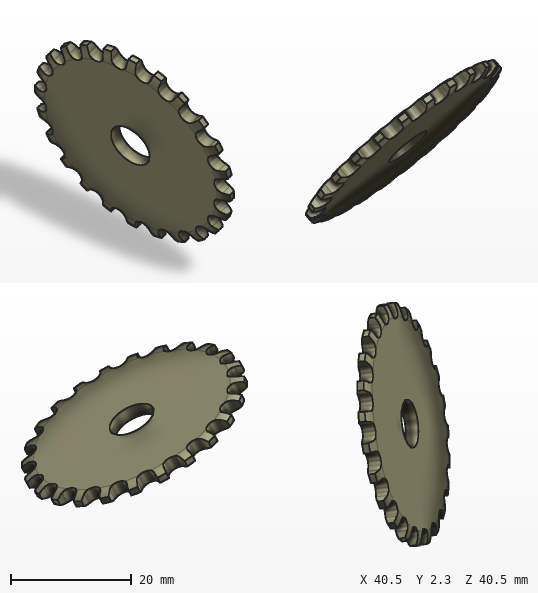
import cadquery as cq
import math

tooth_count = 24
chain_pitch = 5.0
roller_diameter = 3.2
outer_diameter = 40.5

thickness = 2.3
bore_diameter = 8.0

relief_start_radius = 17.9
relief_arc_radius = 5.0

flank_radius = 10.0

cut_clearance = 1.0

outer_radius = outer_diameter / 2
half_thickness = thickness / 2
roller_radius = roller_diameter / 2
pitch_angle = 360 / tooth_count
half_pitch_angle = math.radians(pitch_angle / 2)
pitch_radius = chain_pitch / 2 / math.sin(half_pitch_angle)


def mirrored(point):
    """Point reflected in the horizontal axis of its sketch."""
    return (point[0], -point[1])


def make_blank():
    """Disc turned about Y, with both sides curving in towards the rim."""
    relief_angle = math.asin((outer_radius - relief_start_radius) / relief_arc_radius)

    def relief_point(angle):
        radius = relief_start_radius + relief_arc_radius * math.sin(angle)
        height = half_thickness - relief_arc_radius * (1 - math.cos(angle))
        return (radius, height)

    start = relief_point(0)
    middle = relief_point(relief_angle / 2)
    tip = relief_point(relief_angle)
    return (
        cq.Workplane("XY")
        .moveTo(0, -half_thickness)
        .lineTo(0, half_thickness)
        .lineTo(*start)
        .threePointArc(middle, tip)
        .lineTo(*mirrored(tip))
        .threePointArc(mirrored(middle), mirrored(start))
        .close()
        .revolve(360, (0, 0, 0), (0, 1, 0))
    )


def make_tooth_gap():
    """Cutter for one gap, centred on +X of the XZ plane.

    The round seat fits the chain roller. Each flank leaves the seat tangentially, parallel to the
    centre line of the neighbouring tooth, and bends towards that centre line on its way out.
    """
    flank_reach = outer_radius + cut_clearance - pitch_radius
    flank_sweep = math.asin(flank_reach / flank_radius)
    flank_centre_distance = roller_radius + flank_radius

    def flank_point(sweep):
        x = (
            pitch_radius
            - flank_centre_distance * math.sin(half_pitch_angle)
            + flank_radius * math.sin(half_pitch_angle + sweep)
        )
        z = (
            flank_centre_distance * math.cos(half_pitch_angle)
            - flank_radius * math.cos(half_pitch_angle + sweep)
        )
        return (x, z)

    seat_end = flank_point(0)
    flank_middle = flank_point(flank_sweep / 2)
    mouth = flank_point(flank_sweep)
    seat_bottom = (pitch_radius - roller_radius, 0)
    return (
        cq.Workplane("XZ")
        .moveTo(*mirrored(mouth))
        .threePointArc(mirrored(flank_middle), mirrored(seat_end))
        .threePointArc(seat_bottom, seat_end)
        .threePointArc(flank_middle, mouth)
        .close()
        .extrude(half_thickness + cut_clearance, both=True)
    )


def cut_tooth_gaps(blank):
    """Cut the gaps around the rim, leaving a tooth centred on each main axis."""
    gap = make_tooth_gap()
    sprocket = blank
    for index in range(tooth_count):
        gap_angle = (index + 0.5) * pitch_angle
        sprocket = sprocket.cut(gap.rotate((0, 0, 0), (0, 1, 0), gap_angle))
    return sprocket


def cut_bore(sprocket):
    """Drill the centre bore through the plate."""
    bore = cq.Workplane("XZ").circle(bore_diameter / 2).extrude(half_thickness + cut_clearance, both=True)
    return sprocket.cut(bore)


result = cut_bore(cut_tooth_gaps(make_blank()))